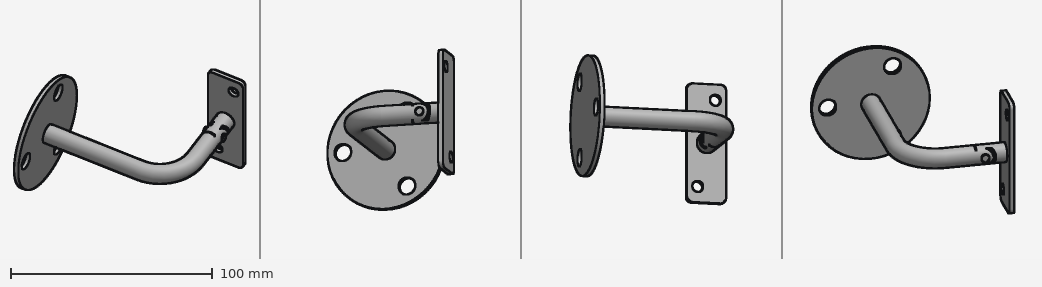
import cadquery as cq
import math

plate_thickness = 2.5
disc_diameter = 60.0
disc_hole_diameter = 8.6
disc_hole_circle_radius = 22.0
disc_hole_count = 3

overall_x = 85.0
overall_y = 83.3
bar_radius = 5.0
bend_radius = 20.0

saddle_width = 20.1
saddle_height = disc_diameter
saddle_corner_radius = 3.0
saddle_hole_diameter = 5.5
saddle_hole_x_offset = 4.5
saddle_hole_z_offset = 22.0

tongue_width = 5.3
fork_end_radius = 4.3
fork_clearance_radius = 5.5
tongue_reach = 4.1
slot_end_gap = 0.5
pin_radius = 2.0
pin_length = 11.0
saddle_to_pin = 11.1

bar_x = overall_x - saddle_width / 2
saddle_back_y = overall_y - disc_diameter / 2
saddle_front_y = saddle_back_y - plate_thickness
pin_y = saddle_front_y - saddle_to_pin
tongue_end_y = pin_y - tongue_reach
slot_end_y = tongue_end_y - slot_end_gap


def block_along_y(width, y_start, y_end):
    """Block centred on the upright bar, as tall in Z as the bar."""
    length = y_end - y_start
    block = cq.Workplane("XY").box(width, length, 2 * bar_radius)
    return block.translate((bar_x, y_start + length / 2, 0))


def cylinder_on_pin(radius, length):
    """Cylinder on the hinge pin axis, centred on the bar."""
    plane = cq.Workplane("YZ", origin=(bar_x, pin_y, 0))
    return plane.circle(radius).extrude(length / 2, both=True)


def upright_bar(y_start, y_end):
    plane = cq.Workplane("XZ", origin=(bar_x, y_start, 0))
    return plane.circle(bar_radius).extrude(y_start - y_end)


def make_disc():
    disc = cq.Workplane("YZ").circle(disc_diameter / 2).extrude(plate_thickness)
    holes = (
        cq.Workplane("YZ")
        .polarArray(disc_hole_circle_radius, 180, 360, disc_hole_count)
        .circle(disc_hole_diameter / 2)
        .extrude(plate_thickness)
    )
    return disc.cut(holes)


def make_bent_bar():
    bend_start_x = bar_x - bend_radius
    bend_middle = (
        bend_start_x + bend_radius * math.sin(math.pi / 4),
        bend_radius * (1 - math.cos(math.pi / 4)),
    )
    path = (
        cq.Workplane("XY")
        .moveTo(plate_thickness, 0)
        .lineTo(bend_start_x, 0)
        .threePointArc(bend_middle, (bar_x, bend_radius))
    )
    start_plane = cq.Workplane("YZ", origin=(plate_thickness, 0, 0))
    return start_plane.circle(bar_radius).sweep(path)


def make_fork():
    round_end = cylinder_on_pin(fork_end_radius, 2 * bar_radius)
    arms = block_along_y(2 * bar_radius, bend_radius, pin_y).union(round_end)
    slot = block_along_y(tongue_width, slot_end_y, saddle_front_y)
    return upright_bar(bend_radius, saddle_front_y).intersect(arms).cut(slot)


def make_tongue():
    clearance = cylinder_on_pin(fork_clearance_radius, 2 * bar_radius)
    beyond_pin = block_along_y(2 * bar_radius, pin_y, saddle_front_y).cut(clearance)
    tongue = block_along_y(tongue_width, tongue_end_y, saddle_front_y)
    return upright_bar(tongue_end_y, saddle_front_y).intersect(beyond_pin.union(tongue))


def make_saddle():
    hole_centres = [
        (side * saddle_hole_x_offset, side * saddle_hole_z_offset) for side in (1, -1)
    ]
    plane = cq.Workplane("XZ", origin=(bar_x, saddle_back_y, 0))
    blank = plane.rect(saddle_width, saddle_height).extrude(plate_thickness)
    holes = (
        plane.pushPoints(hole_centres)
        .circle(saddle_hole_diameter / 2)
        .extrude(plate_thickness)
    )
    return blank.edges("|Y").fillet(saddle_corner_radius).cut(holes)


result = (
    make_disc()
    .union(make_bent_bar())
    .union(make_fork())
    .union(make_tongue())
    .union(cylinder_on_pin(pin_radius, pin_length))
    .union(make_saddle())
)